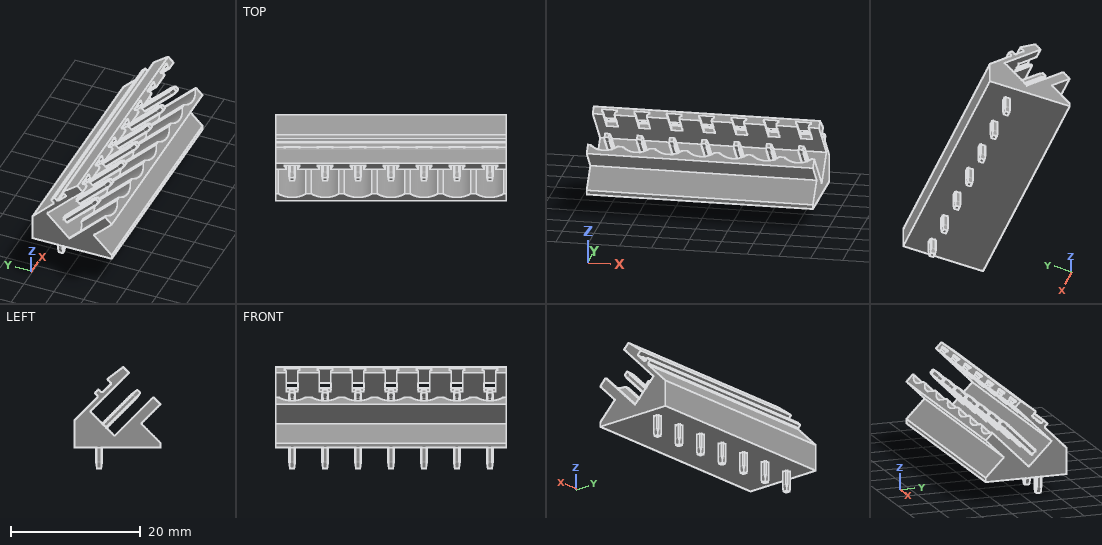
import cadquery as cq
import math


length = 35.55
pin_count = 7
pitch = length / pin_count

depth = 13.3
rear_height = 4.23

well_width = 5.3
arm_length = 8.45
front_arm_thickness = 1.55
root_two = math.sqrt(2)
well_y = (arm_length + front_arm_thickness) / root_two
well_z = 1.8
front_notch_along = 4.23

block_start = 5.35
block_flat = 0.3
block_across = 6.97
tip_across = 6.58
rib_start = 2.5
rib_width = 0.82
rib_across = 6.83
rib_chamfer = 0.16

scallop_width = 4.25
scallop_depth = 0.82

slot_start = 4.35
slot_width = 1.78
slot_wide_width = 2.4
slot_depth = 0.85
slot_neck_depth = 0.32
slot_flare_depth = 0.68

pin_width = 1.0
pin_chamfer = 0.18
pin_y = 9.5
pin_bottom = -3.25
pin_across = 2.2
pin_tip_along = 7.5
tip_length = 1.05
tip_width = 0.68


def well_point(along, across):
    """Return the (Y, Z) position of a point given in well coordinates."""
    return (well_y + (across - along) / root_two, well_z + (along + across) / root_two)


def well_plane(x, along=0.0, across=0.0):
    """Return a plane across the well: local x is X, local y is across, the normal is along."""
    y, z = well_point(along, across)
    return cq.Plane(origin=(x, y, z), xDir=(1, 0, 0), normal=(0, -1, 1))


pin_positions = [(index + 0.5) * pitch for index in range(pin_count)]



def pin_section(plane):
    """Return a square bar section with chamfered corners on the given plane."""
    half = pin_width / 2
    flat = half - pin_chamfer
    outline = [
        (half, -flat), (half, flat), (flat, half), (-flat, half),
        (-half, flat), (-half, -flat), (-flat, -half), (flat, -half),
    ]
    return cq.Workplane(plane).polyline(outline).close()


def pin_tip(plane):
    """Return a tip whose four flat sides taper from the bar section on the plane."""
    taper = math.degrees(math.atan((pin_width - tip_width) / 2 / tip_length))
    wedge = cq.Workplane(plane).rect(pin_width, pin_width).extrude(tip_length, taper=taper)
    return wedge.intersect(pin_section(plane).extrude(tip_length))


def make_pin(x):
    """Return one pin: a vertical leg, a mitred bend and a leg parallel to the well."""
    shoulder_along = pin_tip_along - tip_length
    upper_y, upper_z = well_point(shoulder_along, pin_across)
    bend_z = upper_z - (pin_y - upper_y)
    lower_z = pin_bottom + tip_length
    path = cq.Workplane("XY").polyline(
        [(x, pin_y, lower_z), (x, pin_y, bend_z), (x, upper_y, upper_z)]
    )
    lower_plane = cq.Plane(origin=(x, pin_y, lower_z), xDir=(1, 0, 0), normal=(0, 0, 1))
    tip_plane = cq.Plane(origin=(x, pin_y, lower_z), xDir=(1, 0, 0), normal=(0, 0, -1))
    bar = pin_section(lower_plane).sweep(path, transition="right")
    lower_tip = pin_tip(tip_plane)
    upper_tip = pin_tip(well_plane(x, shoulder_along, pin_across))
    return bar.union(lower_tip).union(upper_tip)



def housing_block():
    """Return the extruded side outline: base, well, two arms, latch block and rib."""
    wall_across = (depth + rear_height - well_y - well_z) / root_two
    rib_end = rib_start + rib_width
    front_y, front_z = well_point(front_notch_along, -front_arm_thickness)
    outline = [
        (0, 0),
        (0, front_z - front_y),
        (front_y, front_z),
        well_point(arm_length, -front_arm_thickness),
        well_point(arm_length, 0),
        well_point(0, 0),
        well_point(0, well_width),
        well_point(arm_length, well_width),
        well_point(arm_length, tip_across),
        well_point(block_start + block_flat, block_across),
        well_point(block_start, block_across),
        well_point(block_start, wall_across),
        well_point(rib_end + rib_chamfer, wall_across),
        well_point(rib_end, wall_across + rib_chamfer),
        well_point(rib_end, rib_across),
        well_point(rib_start, rib_across),
        well_point(rib_start, wall_across + rib_chamfer),
        well_point(rib_start - rib_chamfer, wall_across),
        (depth, rear_height),
        (depth, 0),
    ]
    return cq.Workplane("YZ").polyline(outline).close().extrude(length)


def scallop(x):
    """Return the cutter for one round hollow along the inside of the front arm."""
    half = scallop_width / 2
    return (
        cq.Workplane(well_plane(x))
        .moveTo(-half, 0)
        .threePointArc((0, -scallop_depth), (half, 0))
        .close()
        .extrude(arm_length)
    )


def dovetail_slot(x):
    """Return the cutter for one flared slot running out of the tip of the rear arm."""
    half = slot_width / 2
    wide_half = slot_wide_width / 2
    outline = [
        (-half, 0), (half, 0), (half, slot_neck_depth), (wide_half, slot_flare_depth),
        (wide_half, slot_depth), (-wide_half, slot_depth),
        (-wide_half, slot_flare_depth), (-half, slot_neck_depth),
    ]
    return (
        cq.Workplane(well_plane(x, slot_start, well_width))
        .polyline(outline)
        .close()
        .extrude(arm_length - slot_start)
    )


def make_housing(pins):
    """Return the housing with its scallops, slots and a fitted passage for every pin."""
    housing = housing_block()
    for x, pin in zip(pin_positions, pins):
        housing = housing.cut(scallop(x)).cut(dovetail_slot(x)).cut(pin)
    return housing


pins = [make_pin(x) for x in pin_positions]
housing = make_housing(pins)

pin_solids = [pin.solids().val() for pin in pins]
result = cq.Compound.makeCompound([housing.solids().val(), *pin_solids])